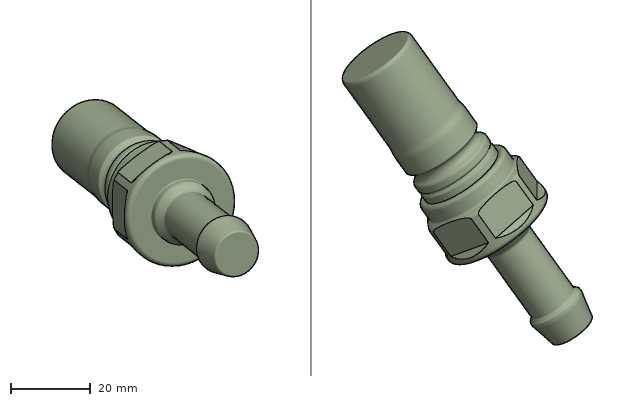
import cadquery as cq
import math


LENGTH = 88.85
NOSE_CONE_LENGTH = 0.9
STEP_START = 22.2
STEP_END = 24.0
GUIDE_END = 29.7
BALL_GROOVE_RUN = 0.9
BALL_GROOVE_FLAT = 1.95
SEAL_GROOVE_CENTER = 36.2
SEAL_GROOVE_HALF_WIDTH = 0.7
COLLAR_START = 38.7
HEX_START = 43.4
HEX_CONE_LENGTH = 0.9
FLAT_END = 52.5
FLANGE_END = 55.9
HUB_LENGTH = 2.0
BARB_START = 79.9
BARB_LAND = 1.0

FACE_RADIUS = 10.1
NOSE_RADIUS = 10.5
GUIDE_RADIUS = 10.8
BALL_GROOVE_RADIUS = 9.5
SEAL_RADIUS = 11.0
SEAL_GROOVE_RADIUS = 10.0
COLLAR_RADIUS = 13.0
FLANGE_RADIUS = 15.0
HUB_RADIUS = 8.35
STEM_RADIUS = 6.5
BARB_RADIUS = 7.55
TIP_RADIUS = 6.0

ACROSS_FLATS = 27.0
HEX_SIDES = 6
CUT_CLEARANCE = 0.9

FACE_ROUND = 0.5
NOSE_ROUND = 1.4
STEP_ROUND = 5.3
SMALL_ROUND = 0.3
BALL_GROOVE_ROUND = 1.7
SEAL_GROOVE_ROUND = 0.35
RIB_ROUND = 0.9
COLLAR_ROUND = 1.1
NECK_ROUND = 0.5
HEX_ROUND = 1.1
FLANGE_ROUND = 1.2
HUB_FOOT_ROUND = 0.3
HUB_ROUND = 1.0
TIP_ROUND = 0.4


def turned_corners():
    """Corners (x, radius, rounding) of the turned outline, from the nose to the barb tip."""
    ball_groove_start = GUIDE_END + BALL_GROOVE_RUN
    ball_groove_end = ball_groove_start + BALL_GROOVE_FLAT
    rib_start = ball_groove_end + BALL_GROOVE_RUN
    hub_end = FLANGE_END + HUB_LENGTH
    stem_start = hub_end + HUB_RADIUS - STEM_RADIUS
    barb_crest = BARB_START + BARB_RADIUS - STEM_RADIUS
    return [
        (0, FACE_RADIUS, FACE_ROUND),
        (NOSE_CONE_LENGTH, NOSE_RADIUS, NOSE_ROUND),
        (STEP_START, NOSE_RADIUS, STEP_ROUND),
        (STEP_END, GUIDE_RADIUS, STEP_ROUND),
        (GUIDE_END, GUIDE_RADIUS, SMALL_ROUND),
        (ball_groove_start, BALL_GROOVE_RADIUS, BALL_GROOVE_ROUND),
        (ball_groove_end, BALL_GROOVE_RADIUS, BALL_GROOVE_ROUND),
        (rib_start, SEAL_RADIUS, RIB_ROUND),
        (SEAL_GROOVE_CENTER - SEAL_GROOVE_HALF_WIDTH, SEAL_RADIUS, SMALL_ROUND),
        (SEAL_GROOVE_CENTER, SEAL_GROOVE_RADIUS, SEAL_GROOVE_ROUND),
        (SEAL_GROOVE_CENTER + SEAL_GROOVE_HALF_WIDTH, SEAL_RADIUS, SMALL_ROUND),
        (COLLAR_START, SEAL_RADIUS, 0),
        (COLLAR_START, COLLAR_RADIUS, COLLAR_ROUND),
        (HEX_START, COLLAR_RADIUS, NECK_ROUND),
        (HEX_START + HEX_CONE_LENGTH, FLANGE_RADIUS, HEX_ROUND),
        (FLANGE_END, FLANGE_RADIUS, FLANGE_ROUND),
        (FLANGE_END, HUB_RADIUS, HUB_FOOT_ROUND),
        (hub_end, HUB_RADIUS, HUB_ROUND),
        (stem_start, STEM_RADIUS, HUB_ROUND),
        (BARB_START, STEM_RADIUS, SMALL_ROUND),
        (barb_crest, BARB_RADIUS, SMALL_ROUND),
        (barb_crest + BARB_LAND, BARB_RADIUS, SMALL_ROUND),
        (LENGTH, TIP_RADIUS, TIP_ROUND),
    ]


def add_rounded_corner(outline, before, corner, after, radius):
    """Draw a line towards the corner and round it with a tangent arc."""
    corner = cq.Vector(*corner)
    if radius == 0:
        return outline.lineTo(corner.x, corner.y)
    backward = (cq.Vector(*before) - corner).normalized()
    forward = (cq.Vector(*after) - corner).normalized()
    half_angle = backward.getAngle(forward) / 2
    setback = radius / math.tan(half_angle)
    arc_depth = radius / math.sin(half_angle) - radius
    arc_start = corner + backward * setback
    arc_middle = corner + (backward + forward).normalized() * arc_depth
    arc_end = corner + forward * setback
    outline = outline.lineTo(arc_start.x, arc_start.y)
    return outline.threePointArc((arc_middle.x, arc_middle.y), (arc_end.x, arc_end.y))


def turned_body():
    corners = turned_corners()
    points = [(0, 0)] + [(x, radius) for x, radius, _ in corners] + [(LENGTH, 0)]
    outline = cq.Workplane("XY").moveTo(0, 0)
    for i, (_, _, rounding) in enumerate(corners, start=1):
        outline = add_rounded_corner(outline, points[i - 1], points[i], points[i + 1], rounding)
    outline = outline.lineTo(LENGTH, 0).close()
    return outline.revolve(360, (0, 0, 0), (1, 0, 0))


def flat_cutter():
    """Waste beyond the wrench flat on the -Y side, with a 45 degree run-out at its flange end."""
    flat = ACROSS_FLATS / 2
    depth = FLANGE_RADIUS - flat + CUT_CLEARANCE
    return (
        cq.Workplane("XY")
        .polyline([
            (COLLAR_START, -flat),
            (FLAT_END, -flat),
            (FLAT_END + depth, -flat - depth),
            (COLLAR_START, -flat - depth),
        ])
        .close()
        .extrude(FLANGE_RADIUS, both=True)
    )


result = turned_body()
for side in range(HEX_SIDES):
    result = result.cut(flat_cutter().rotate((0, 0, 0), (1, 0, 0), side * 360 / HEX_SIDES))